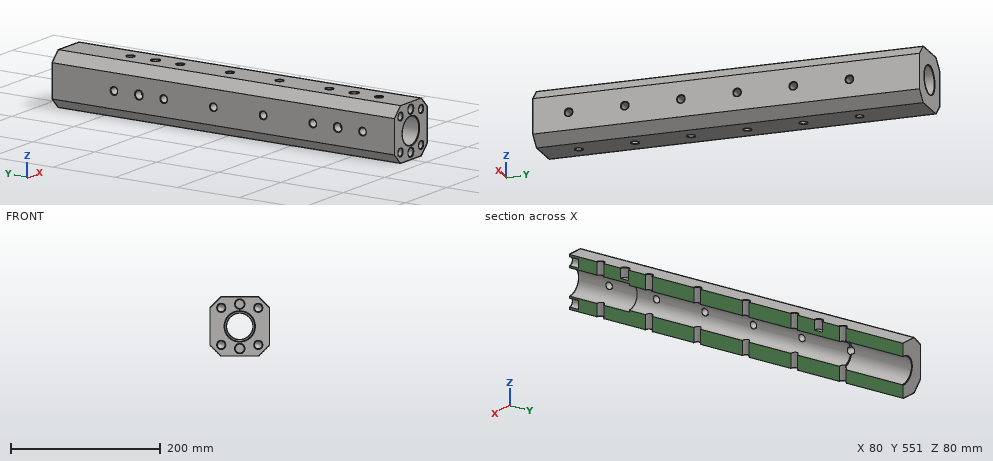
import cadquery as cq
import math

LENGTH = 551.0
WIDTH = 80.0
EDGE_CHAMFER = 15.0
SIDE = WIDTH / 2
FRONT = -LENGTH / 2

BORE_DIAMETER = 35.0
END_BORE_DIAMETER = 40.0
END_BORE_MOUTH_DIAMETER = 42.0
END_BORE_DEPTH = 99.0

SCREW_DIAMETER = 10.5
SCREW_MOUTH_DIAMETER = 12.0
DOWEL_DIAMETER = 12.0
DOWEL_MOUTH_DIAMETER = 14.0
SIDE_DOWEL_DEPTH = 15.0
END_DOWEL_DEPTH = 15.0
END_SCREW_DEPTH = 25.0
DRILL_TIP_ANGLE = 118.0

FRONT_MARGIN = 51.0
SCREW_ROW_SPAN = 400.0
SCREW_STATIONS = (0, 2, 4, 6, 8, 10)
DOWEL_STATIONS = (1, 9)
STATION_PITCH = SCREW_ROW_SPAN / SCREW_STATIONS[-1]
FIRST_STATION = FRONT + FRONT_MARGIN

END_SCREW_OFFSET = 25.0
END_DOWEL_OFFSET = 30.0


def cylinder(diameter, depth, mouth, direction):
    return cq.Solid.makeCylinder(diameter / 2, depth, cq.Vector(*mouth), cq.Vector(*direction))


def mouth_bevel(hole_diameter, mouth_diameter, mouth, direction):
    """45 degree cone that opens a hole from its own diameter to a wider mouth."""
    depth = (mouth_diameter - hole_diameter) / 2
    return cq.Solid.makeCone(
        mouth_diameter / 2, hole_diameter / 2, depth, cq.Vector(*mouth), cq.Vector(*direction)
    )


def through_hole(diameter, mouth_diameter, length, mouth, direction):
    """Hole right through the bar, bevelled at both mouths."""
    far_mouth = tuple(m + length * d for m, d in zip(mouth, direction))
    backward = tuple(-d for d in direction)
    return [
        cylinder(diameter, length, mouth, direction),
        mouth_bevel(diameter, mouth_diameter, mouth, direction),
        mouth_bevel(diameter, mouth_diameter, far_mouth, backward),
    ]


def dowel_hole(depth, mouth, direction):
    """Flat-bottomed blind hole."""
    return [
        cylinder(DOWEL_DIAMETER, depth, mouth, direction),
        mouth_bevel(DOWEL_DIAMETER, DOWEL_MOUTH_DIAMETER, mouth, direction),
    ]


def end_screw_hole(mouth, direction):
    """Blind hole with a conical drill tip at the bottom."""
    radius = SCREW_DIAMETER / 2
    tip_depth = radius / math.tan(math.radians(DRILL_TIP_ANGLE / 2))
    bottom = tuple(m + END_SCREW_DEPTH * d for m, d in zip(mouth, direction))
    return [
        cylinder(SCREW_DIAMETER, END_SCREW_DEPTH, mouth, direction),
        cq.Solid.makeCone(radius, 0, tip_depth, cq.Vector(*bottom), cq.Vector(*direction)),
        mouth_bevel(SCREW_DIAMETER, SCREW_MOUTH_DIAMETER, mouth, direction),
    ]


cuts = [cylinder(BORE_DIAMETER, LENGTH, (0, FRONT, 0), (0, 1, 0))]
for end, inward in ((FRONT, 1), (-FRONT, -1)):
    mouth = (0, end, 0)
    direction = (0, inward, 0)
    cuts.append(cylinder(END_BORE_DIAMETER, END_BORE_DEPTH, mouth, direction))
    cuts.append(mouth_bevel(END_BORE_DIAMETER, END_BORE_MOUTH_DIAMETER, mouth, direction))

for station in SCREW_STATIONS:
    y = FIRST_STATION + station * STATION_PITCH
    cuts += through_hole(SCREW_DIAMETER, SCREW_MOUTH_DIAMETER, WIDTH, (0, y, SIDE), (0, 0, -1))
    cuts += through_hole(SCREW_DIAMETER, SCREW_MOUTH_DIAMETER, WIDTH, (-SIDE, y, 0), (1, 0, 0))

for station in DOWEL_STATIONS:
    y = FIRST_STATION + station * STATION_PITCH
    cuts += dowel_hole(SIDE_DOWEL_DEPTH, (0, y, SIDE), (0, 0, -1))
    cuts += dowel_hole(SIDE_DOWEL_DEPTH, (-SIDE, y, 0), (1, 0, 0))

for z_sign in (-1, 1):
    for x_sign in (-1, 1):
        mouth = (x_sign * END_SCREW_OFFSET, FRONT, z_sign * END_SCREW_OFFSET)
        cuts += end_screw_hole(mouth, (0, 1, 0))
    cuts += dowel_hole(END_DOWEL_DEPTH, (0, FRONT, z_sign * END_DOWEL_OFFSET), (0, 1, 0))

result = cq.Workplane("XY").box(WIDTH, LENGTH, WIDTH).edges("|Y").chamfer(EDGE_CHAMFER)
for cut in cuts:
    result = result.cut(cq.Workplane(cut))